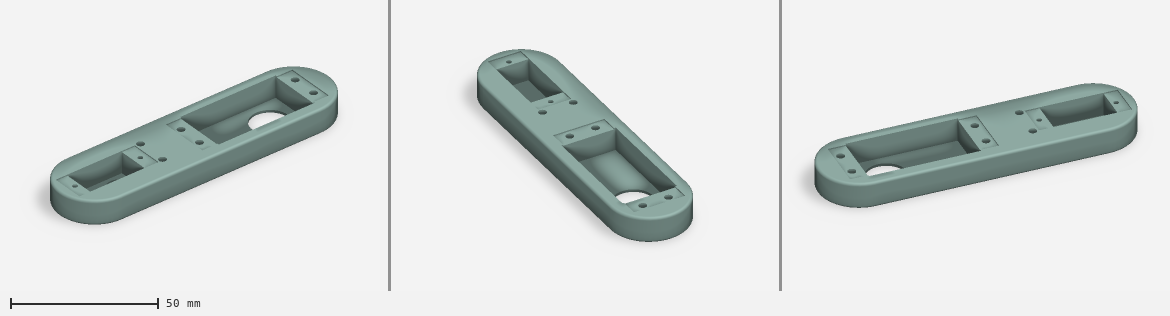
import cadquery as cq

LENGTH = 115.6
WIDTH = 30.0
HEIGHT = 10.0
EDGE_RADIUS = 1.0

FLOOR = 1.0
LEDGE_DEPTH = 0.5

SCREW_DIAMETER = 3.0

LARGE_CENTER_Y = 22.9
LARGE_POCKET_WIDTH = 21.3
LARGE_POCKET_LENGTH = 41.0
LARGE_LEDGE_WIDTH = 20.0
LARGE_LEDGE_LENGTH = 54.3
LARGE_SCREW_SPACING_X = 10.0
LARGE_SCREW_SPACING_Y = 49.0
LARGE_OPENING_DIAMETER = 15.0
LARGE_OPENING_Y = 32.7

SMALL_LEDGE_CENTER_Y = -37.3
SMALL_POCKET_CENTER_Y = -37.5
SMALL_WIDTH = 13.0
SMALL_POCKET_LENGTH = 23.3
SMALL_LEDGE_LENGTH = 34.0
SMALL_SCREW_DIAMETER = 2.0
SMALL_SCREW_CENTER_Y = -37.1
SMALL_SCREW_SPACING_Y = 28.1
SMALL_OPENING_DIAMETER = 10.0
SMALL_OPENING_Y = -31.8

PAIR_SPACING_X = 12.0
PAIR_Y = -18.3


def recess(width, length, center_y, floor_z):
    """Rectangular cutter from floor_z up to the top face."""
    depth = HEIGHT - floor_z
    base = cq.Workplane("XY", origin=(0, center_y, floor_z))
    return base.rect(width, length).extrude(depth)


def through_holes(points, diameter):
    """Vertical cylinders through the full plate height."""
    return cq.Workplane("XY").pushPoints(points).circle(diameter / 2).extrude(HEIGHT)


def make_plate():
    plate = cq.Workplane("XY").slot2D(LENGTH, WIDTH, 90).extrude(HEIGHT)
    return plate.faces("<Z or >Z").edges().fillet(EDGE_RADIUS)


def cut_large_pocket(body):
    screw_points = [
        (x_side * LARGE_SCREW_SPACING_X / 2, LARGE_CENTER_Y + y_side * LARGE_SCREW_SPACING_Y / 2)
        for x_side in (-1, 1)
        for y_side in (-1, 1)
    ]
    body = body.cut(recess(LARGE_LEDGE_WIDTH, LARGE_LEDGE_LENGTH, LARGE_CENTER_Y, HEIGHT - LEDGE_DEPTH))
    body = body.cut(recess(LARGE_POCKET_WIDTH, LARGE_POCKET_LENGTH, LARGE_CENTER_Y, FLOOR))
    body = body.cut(through_holes(screw_points, SCREW_DIAMETER))
    return body.cut(through_holes([(0, LARGE_OPENING_Y)], LARGE_OPENING_DIAMETER))


def cut_small_pocket(body):
    screw_points = [(0, SMALL_SCREW_CENTER_Y + side * SMALL_SCREW_SPACING_Y / 2) for side in (-1, 1)]
    body = body.cut(recess(SMALL_WIDTH, SMALL_LEDGE_LENGTH, SMALL_LEDGE_CENTER_Y, HEIGHT - LEDGE_DEPTH))
    body = body.cut(recess(SMALL_WIDTH, SMALL_POCKET_LENGTH, SMALL_POCKET_CENTER_Y, FLOOR))
    body = body.cut(through_holes(screw_points, SMALL_SCREW_DIAMETER))
    return body.cut(through_holes([(0, SMALL_OPENING_Y)], SMALL_OPENING_DIAMETER))


def cut_screw_pair(body):
    points = [(side * PAIR_SPACING_X / 2, PAIR_Y) for side in (-1, 1)]
    return body.cut(through_holes(points, SCREW_DIAMETER))


result = cut_screw_pair(cut_small_pocket(cut_large_pocket(make_plate())))